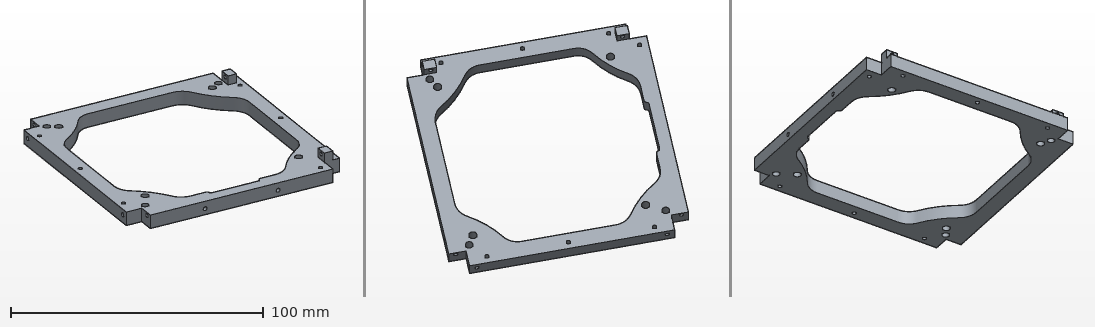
import cadquery as cq
import math

along_x_axis = (1, 0, 0)
along_y_axis = (0, 1, 0)

side = 96.8
plate_height = 6.0
rail_width = 7.0
half_side = side / 2
inner_half = half_side - rail_width

bulge_radius = 40.7
bulge_center = 59.9
opening_fillet = 8.0

relief_depth = 1.6
relief_length = 22.7
relief_end_radius = 1.0

block_width = 5.0
block_depth = 3.9
block_rise = 4.0
block_hole_x = 38.7
block_hole_z = 8.4

mount_diameter = 3.2
mount_xs = (-37.4, 32.4)
mount_y = 34.8
corner_diameter = 3.0
corner_x = 39.7
corner_y = 38.9
small_diameter = 1.6
rail_hole_xs = (-33.9, -1.0, 33.9)
rail_hole_y = 45.5
single_hole = (44.8, 37.85)

blind_depth = 5.8
front_hole_x = 38.4
front_hole_z = 3.5
notch_hole_x = 45.6
notch_hole_z = 4.6
side_hole_y = 32.3
side_hole_z = 1.55
relief_hole_y = 16.6
relief_hole_z = 2.7


def box(x_min, x_max, y_min, y_max, height):
    """Box standing on the bottom plane."""
    return (
        cq.Workplane("XY")
        .center((x_min + x_max) / 2, (y_min + y_max) / 2)
        .rect(x_max - x_min, y_max - y_min)
        .extrude(height)
    )


def upright_holes(points, diameter):
    """Cylinders passing through the plate."""
    return cq.Workplane("XY").pushPoints(points).circle(diameter / 2).extrude(plate_height)


def small_hole(start, direction, depth):
    """Small cylinder running from a start point along a direction."""
    cylinder = cq.Solid.makeCylinder(small_diameter / 2, depth, cq.Vector(*start), cq.Vector(*direction))
    return cq.Workplane(cylinder)


def make_plate():
    """Square plate with a square notch at each corner."""
    along_x = box(-half_side, half_side, -inner_half, inner_half, plate_height)
    along_y = box(-inner_half, inner_half, -half_side, half_side, plate_height)
    return along_x.union(along_y)


def make_relief():
    """Shallow recess whose ends are S curves of two equal arcs, tangent to both walls."""
    arc_angle = math.acos(1 - relief_depth / (2 * relief_end_radius))
    half_run = relief_end_radius * math.sin(arc_angle)
    x_wall = inner_half
    x_middle = inner_half + relief_depth / 2
    x_deep = inner_half + relief_depth
    y_middle = relief_length / 2
    y_wall = y_middle + half_run
    y_deep = y_middle - half_run
    return (
        cq.Workplane("XY")
        .moveTo(x_wall, -y_wall)
        .radiusArc((x_middle, -y_middle), relief_end_radius)
        .radiusArc((x_deep, -y_deep), -relief_end_radius)
        .lineTo(x_deep, y_deep)
        .radiusArc((x_middle, y_middle), -relief_end_radius)
        .radiusArc((x_wall, y_wall), relief_end_radius)
        .close()
        .extrude(plate_height)
    )


def make_opening():
    """Central opening with bulged, filleted corners."""
    opening = box(-inner_half, inner_half, -inner_half, inner_half, plate_height)
    bulges = (
        cq.Workplane("XY")
        .rect(2 * bulge_center, 2 * bulge_center, forConstruction=True)
        .vertices()
        .circle(bulge_radius)
        .extrude(plate_height)
    )
    return opening.cut(bulges).edges("|Z").fillet(opening_fillet)


frame = make_plate().cut(make_opening()).cut(make_relief())

for direction in (-1, 1):
    block_x = direction * (inner_half - block_width / 2)
    block = box(
        block_x - block_width / 2,
        block_x + block_width / 2,
        inner_half,
        inner_half + block_depth,
        plate_height + block_rise,
    )
    block_hole = small_hole((direction * block_hole_x, inner_half, block_hole_z), along_y_axis, block_depth)
    frame = frame.union(block).cut(block_hole)

mount_points = [(x, y) for x in mount_xs for y in (-mount_y, mount_y)]
corner_points = [(-corner_x, corner_y), (-corner_x, -corner_y), (corner_x, -corner_y)]
small_points = [(x, y) for x in rail_hole_xs for y in (-rail_hole_y, rail_hole_y)]
small_points.append(single_hole)
frame = frame.cut(upright_holes(mount_points, mount_diameter))
frame = frame.cut(upright_holes(corner_points, corner_diameter))
frame = frame.cut(upright_holes(small_points, small_diameter))

for direction in (-1, 1):
    front_start = (direction * front_hole_x, -half_side, front_hole_z)
    notch_start = (direction * notch_hole_x, -inner_half, notch_hole_z)
    frame = frame.cut(small_hole(front_start, along_y_axis, blind_depth))
    frame = frame.cut(small_hole(notch_start, along_y_axis, blind_depth))

for direction in (-1, 1):
    side_start = (-half_side, direction * side_hole_y, side_hole_z)
    relief_start = (inner_half, direction * relief_hole_y, relief_hole_z)
    frame = frame.cut(small_hole(side_start, along_x_axis, blind_depth))
    frame = frame.cut(small_hole(relief_start, along_x_axis, rail_width))

result = frame